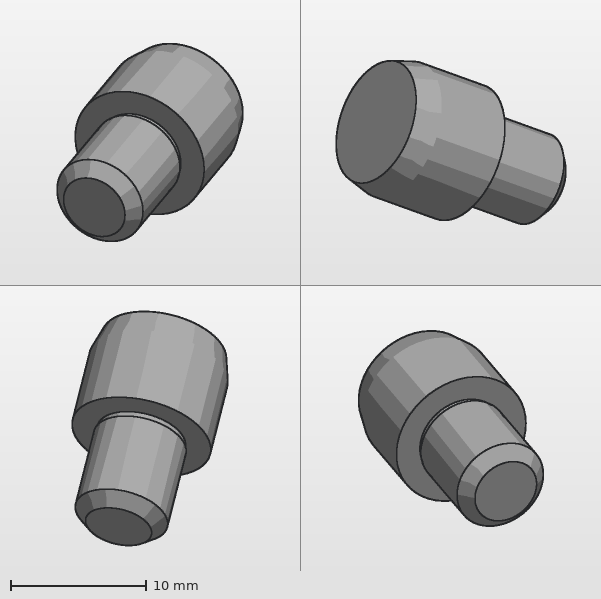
import cadquery as cq
import math

head_diameter = 10.5
head_length = 8.0
lead_in_length = 2.0
lead_in_angle = 15.0

shank_diameter = 7.0
shank_length = 8.0
shank_chamfer = 1.0

relief_diameter = 6.7
relief_width = 0.5

head_radius = head_diameter / 2
shank_radius = shank_diameter / 2
relief_radius = relief_diameter / 2
lead_in_end_radius = head_radius - lead_in_length * math.tan(math.radians(lead_in_angle))


def make_head():
    """Head cylinder with a tapered lead-in at its +Y end."""
    half_profile = [
        (0, 0),
        (head_radius, 0),
        (head_radius, head_length - lead_in_length),
        (lead_in_end_radius, head_length),
        (0, head_length),
    ]
    return cq.Workplane("XY").polyline(half_profile).close().revolve(360, (0, 0), (0, 1))


def make_shank():
    """Shank with a relief groove under the head and a chamfered -Y end."""
    half_profile = [
        (0, 0),
        (relief_radius, 0),
        (relief_radius, -relief_width),
        (shank_radius, -relief_width),
        (shank_radius, -shank_length + shank_chamfer),
        (shank_radius - shank_chamfer, -shank_length),
        (0, -shank_length),
    ]
    return cq.Workplane("XY").polyline(half_profile).close().revolve(360, (0, 0), (0, 1))


result = make_head().union(make_shank())